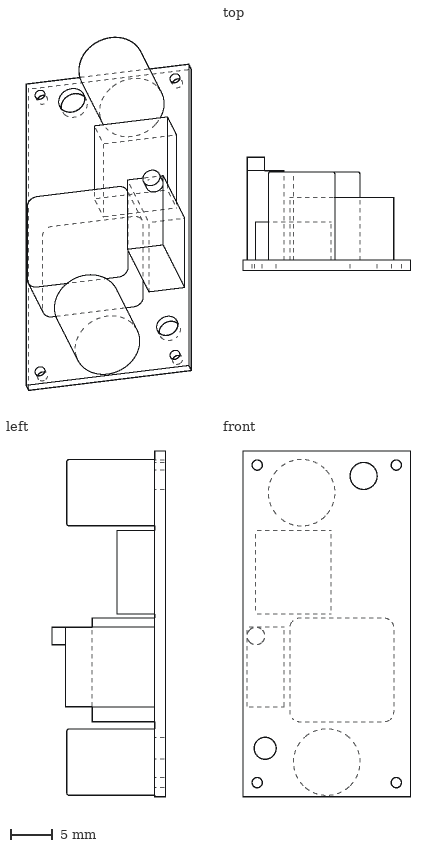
import cadquery as cq

BOARD_WIDTH = 20.0
BOARD_HEIGHT = 41.3
BOARD_THICKNESS = 1.3

CORNER_HOLE_DIAMETER = 1.2
CORNER_HOLE_INSET = 1.7

LARGE_HOLES = (
    (14.4, BOARD_HEIGHT - 3.0, 3.2),
    (2.65, 5.8, 2.6),
)

CAPACITOR_DIAMETER = 7.95
CAPACITOR_HEIGHT = 10.5
CAPACITOR_EDGE_RADIUS = 0.3
CAPACITOR_CENTRES = (
    (7.0, BOARD_HEIGHT - 5.0),
    (10.0, 4.15),
)

INDUCTOR_SIDE = 12.4
INDUCTOR_HEIGHT = 7.45
INDUCTOR_CORNER_RADIUS = 1.2
INDUCTOR_LEFT = 5.6
INDUCTOR_BOTTOM = 8.95

TRIMMER_WIDTH = 4.4
TRIMMER_LENGTH = 9.5
TRIMMER_HEIGHT = 10.65
TRIMMER_LEFT = 0.5
TRIMMER_BOTTOM = 10.75
SCREW_DIAMETER = 2.1
SCREW_HEIGHT = 1.61

CHIP_WIDTH = 9.0
CHIP_LENGTH = 10.0
CHIP_HEIGHT = 4.5
CHIP_LEFT = 1.5
CHIP_BOTTOM = 21.8


def block(left, bottom, width, length, height):
    """Rectangular block standing on the component face of the board."""
    return cq.Workplane("XY").box(width, height, length, centered=False).translate(
        (left, BOARD_THICKNESS, bottom)
    )


def post(x, z, diameter, start, height):
    """Round post along +Y, beginning at Y = start."""
    plane = cq.Plane(origin=(x, start, z), xDir=(0, 0, 1), normal=(0, 1, 0))
    return cq.Workplane(plane).circle(diameter / 2).extrude(height)


def make_board():
    board = cq.Workplane("XY").box(BOARD_WIDTH, BOARD_THICKNESS, BOARD_HEIGHT, centered=False)
    for x in (CORNER_HOLE_INSET, BOARD_WIDTH - CORNER_HOLE_INSET):
        for z in (CORNER_HOLE_INSET, BOARD_HEIGHT - CORNER_HOLE_INSET):
            board = board.cut(post(x, z, CORNER_HOLE_DIAMETER, 0, BOARD_THICKNESS))
    for x, z, diameter in LARGE_HOLES:
        board = board.cut(post(x, z, diameter, 0, BOARD_THICKNESS))
    return board


def make_capacitor(x, z):
    can = post(x, z, CAPACITOR_DIAMETER, BOARD_THICKNESS, CAPACITOR_HEIGHT)
    return can.faces(">Y").edges().fillet(CAPACITOR_EDGE_RADIUS)


def make_inductor():
    body = block(INDUCTOR_LEFT, INDUCTOR_BOTTOM, INDUCTOR_SIDE, INDUCTOR_SIDE, INDUCTOR_HEIGHT)
    return body.edges("|Y").fillet(INDUCTOR_CORNER_RADIUS)


def make_trimmer():
    body = block(TRIMMER_LEFT, TRIMMER_BOTTOM, TRIMMER_WIDTH, TRIMMER_LENGTH, TRIMMER_HEIGHT)
    screw_x = TRIMMER_LEFT + SCREW_DIAMETER / 2
    screw_z = TRIMMER_BOTTOM + TRIMMER_LENGTH - SCREW_DIAMETER / 2
    screw_start = BOARD_THICKNESS + TRIMMER_HEIGHT
    return body.union(post(screw_x, screw_z, SCREW_DIAMETER, screw_start, SCREW_HEIGHT))


def make_chip():
    return block(CHIP_LEFT, CHIP_BOTTOM, CHIP_WIDTH, CHIP_LENGTH, CHIP_HEIGHT)


result = make_board()
for centre_x, centre_z in CAPACITOR_CENTRES:
    result = result.union(make_capacitor(centre_x, centre_z))
result = result.union(make_inductor())
result = result.union(make_trimmer())
result = result.union(make_chip())